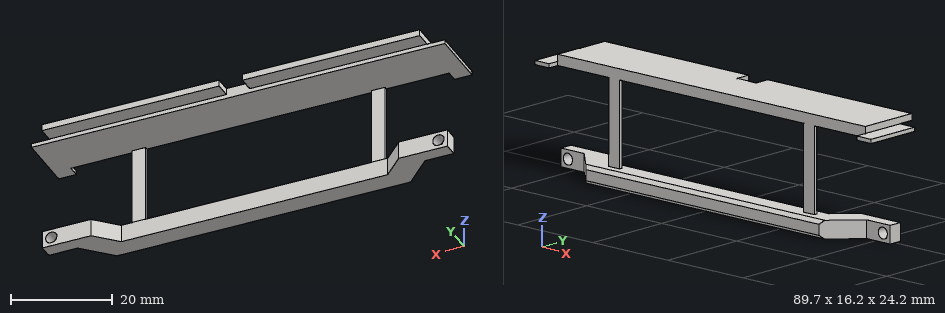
import cadquery as cq

length = 89.7
depth = 16.2
height = 24.2

plate_length = 82.0
plate_width = 13.6
plate_thickness = 1.4
notch_width = 5.0
notch_depth = 3.4

layer_thickness = 0.9
ear_length = (length - plate_length) / 2
ear_width = 12.7
ear_front_y = 0.1

bar_length = 87.9
bar_height = 3.9
bar_width = 5.2
bar_chamfer = 0.8
bar_front_length = 62.1
bar_back_length = 57.8
arm_back_y = 9.7
arm_thickness = 3.05
arm_front_y = arm_back_y - arm_thickness
crank_front_run = arm_front_y
crank_back_run = arm_back_y - bar_width
hole_diameter = 2.4
hole_end_distance = 2.0

post_width = 3.0
post_thickness = 0.7
post_spacing = 51.95

plate_front_y = depth - plate_width
plate_bottom_z = height - plate_thickness
layer_bottom_z = plate_bottom_z - layer_thickness


def block(center_x, front_y, bottom_z, size_x, size_y, size_z):
    """Make a box centred on X, placed by its front face and underside."""
    box = cq.Workplane("XY").box(size_x, size_y, size_z, centered=(True, False, False))
    return box.translate((center_x, front_y, bottom_z))


def make_plate():
    plate = block(0, plate_front_y, plate_bottom_z, plate_length, plate_width, plate_thickness)
    notch = block(0, depth - notch_depth, plate_bottom_z, notch_width, notch_depth, plate_thickness)
    return plate.cut(notch)


def make_layer():
    layer_width = ear_front_y + ear_width - plate_front_y
    layer = block(0, plate_front_y, layer_bottom_z, plate_length, layer_width, layer_thickness)
    for side in (-1, 1):
        ear_x = side * (length - ear_length) / 2
        layer = layer.union(
            block(ear_x, ear_front_y, layer_bottom_z, ear_length, ear_width, layer_thickness)
        )
    return layer


def make_bar():
    half_end = bar_length / 2
    half_front = bar_front_length / 2
    half_back = bar_back_length / 2
    right_half = [
        (half_front, 0),
        (half_front + crank_front_run, arm_front_y),
        (half_end, arm_front_y),
        (half_end, arm_back_y),
        (half_back + crank_back_run, arm_back_y),
        (half_back, bar_width),
    ]
    left_half = [(-x, y) for x, y in reversed(right_half)]
    bar = cq.Workplane("XY").polyline(right_half + left_half).close().extrude(bar_height)

    for edge_z, inward in ((0, 1), (bar_height, -1)):
        corner = (
            cq.Workplane("YZ")
            .polyline([(0, edge_z), (bar_chamfer, edge_z), (0, edge_z + inward * bar_chamfer)])
            .close()
            .extrude(half_end, both=True)
        )
        bar = bar.cut(corner)

    hole_x = half_end - hole_end_distance
    holes = (
        cq.Workplane("XZ")
        .pushPoints([(-hole_x, bar_height / 2), (hole_x, bar_height / 2)])
        .circle(hole_diameter / 2)
        .extrude(-depth)
    )
    return bar.cut(holes)


def make_post(side):
    post_height = layer_bottom_z - bar_height
    return block(
        side * post_spacing / 2, plate_front_y, bar_height, post_width, post_thickness, post_height
    )


result = make_plate().union(make_layer()).union(make_bar())
for post_side in (-1, 1):
    result = result.union(make_post(post_side))